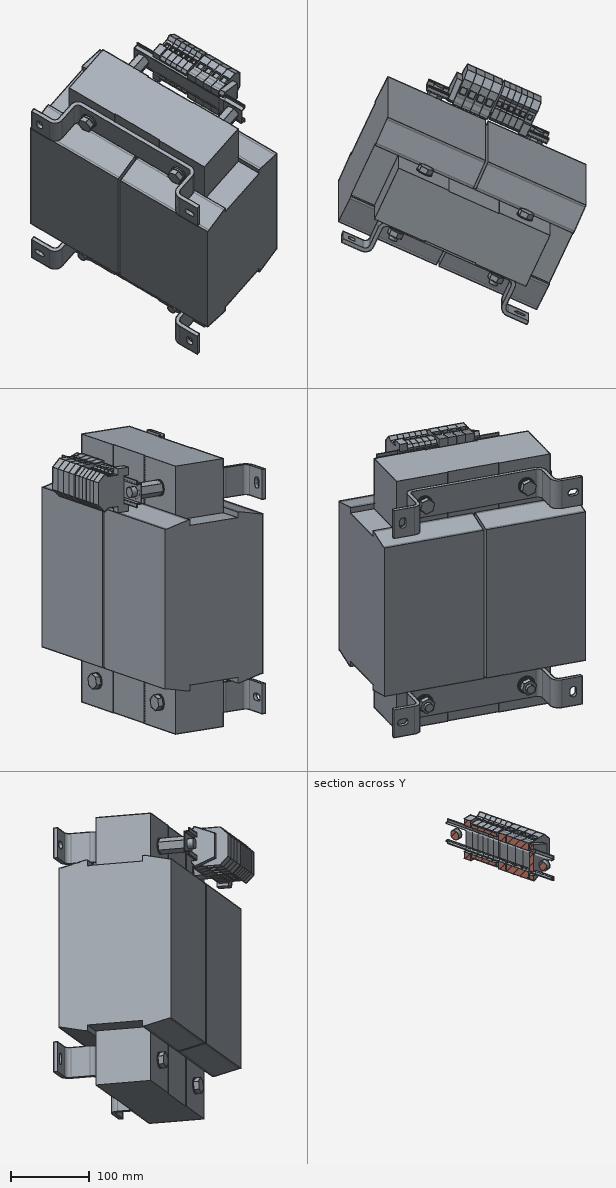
import cadquery as cq
import math


CORE_WIDTH = 211.5
CORE_HEIGHT = 350.0
CORE_DEPTH = 73.5
YOKE_HEIGHT = 70.7
YOKE_CENTRE_Z = 140.0
WINDOW_WIDTH = 70.0
YOKE_RECESS = 1.0
WINDOW_HEIGHT = CORE_HEIGHT - 2 * YOKE_HEIGHT
CORE_FACE = CORE_DEPTH / 2

COILS_WIDTH = 277.0
COIL_GAP = 3.5
COIL_WIDTH = (COILS_WIDTH - COIL_GAP) / 2
COIL_DEPTH = 150.5
COIL_PEAK_HEIGHT = 223.3
COIL_RIM = 3.0

BRACKET_HEIGHT = 39.2
BRACKET_THICKNESS = 5.2
BRACKET_SPAN = 259.0
BRACKET_LEG_SPAN = 190.5
FOOT_Y = -85.5
BEND_OUTER = 11.5
BEND_INNER = BEND_OUTER - BRACKET_THICKNESS
SLOT_X = 117.2
SLOT_LENGTH = 14.5
SLOT_WIDTH = 9.0
BRACKET_FACE = -CORE_FACE - BRACKET_THICKNESS

BOLT_X = 70.0
BOLT_DIAMETER = 11.2
BOLT_HEX_DIAMETER = 20.3
BOLT_HEX_TURN = 17.0
WASHER_DIAMETER = 21.0
WASHER_THICKNESS = 2.0
SPRING_WASHER_DIAMETER = 19.5
SPRING_WASHER_THICKNESS = 2.5
NUT_WASHER_DIAMETER = 22.8
HEAD_HEIGHT = 7.0
NUT_HEIGHT = 7.7
BOLT_OVERHANG = 5.2
BACK_WASHER_THICKNESS = 1.0
STACK_FACE = BRACKET_FACE - WASHER_THICKNESS - SPRING_WASHER_THICKNESS
BACK_WASHER_FACE = CORE_FACE + BACK_WASHER_THICKNESS

RAIL_LENGTH = 168.0
RAIL_BACK = 74.0
RAIL_DEPTH = 7.7
RAIL_SHEET = 1.5
RAIL_HAT_HEIGHT = 27.3
RAIL_HEIGHT = 35.0
RAIL_FRONT = RAIL_BACK + RAIL_DEPTH
RAIL_SCREW_DIAMETER = 13.3
RAIL_SCREW_TOP = 83.3

CROWN_Y = 120.8
CROWN = 14.7
SHOULDER_Y = 110.2
SHOULDER = 25.0
NOTCH_Y = 105.5
NOTCH = 20.5
FOOT_TOP_Y = 78.0
CLIP_Y = 74.5
CLIP = 18.5
LARGE_CLIP = 14.7
CLIP_OUTER = 21.5
SEAT_Y = RAIL_FRONT - RAIL_SHEET / 2
BLOCK_GAP = 0.18

END_BLOCK_X = -55.0
END_BLOCK_WIDTH = 11.0
END_FLANK_Y = 90.3
END_FLANK = 28.7

SMALL_ROW_WIDTH = 41.0
SMALL_COUNT = 5
SMALL_RAMP_Y = 93.8
SMALL_RAMP = 2.0

LARGE_ROW_X = -0.7
LARGE_ROW_WIDTH = 48.5
LARGE_COUNT = 4
LARGE_FLANK_Y = 85.5
LARGE_FLANK = 26.2

STOP_WIDTH = 7.5
STOP_TOP_Y = 105.0
STOP_TOP = 15.8
STOP_FLANK = 26.2

SOCKET_DEPTH = 4.2
SMALL_SOCKET_WIDTH = 5.5
SMALL_SOCKET_Y = (94.5, 101.0)
LARGE_SOCKET_WIDTH = 8.0
LARGE_SOCKET_Y = (90.0, 99.5)


def box(x0, x1, y0, y1, z0, z1):
    """Box between two opposite corners."""
    return cq.Workplane("XY").box(x1 - x0, y1 - y0, z1 - z0, centered=False).translate((x0, y0, z0))


def cylinder(x, z, diameter, y0, y1):
    """Round bar along Y."""
    return cq.Workplane("XZ", origin=(x, y0, z)).circle(diameter / 2).extrude(y0 - y1)


def hexagon(x, z, y0, y1):
    """Hexagonal bar along Y, turned so that no flat is level."""
    sketch = cq.Workplane("XZ", origin=(x, y0, z)).transformed(rotate=(0, 0, BOLT_HEX_TURN))
    return sketch.polygon(6, BOLT_HEX_DIAMETER).extrude(y0 - y1)


def core():
    """Closed rectangular frame whose yokes are slightly thinner between the limbs."""
    outer = cq.Workplane("XY").box(CORE_WIDTH, CORE_DEPTH, CORE_HEIGHT)
    frame = outer.cut(cq.Workplane("XY").box(WINDOW_WIDTH, CORE_DEPTH, WINDOW_HEIGHT))
    limbs = frame.cut(cq.Workplane("XY").box(WINDOW_WIDTH, CORE_DEPTH, CORE_HEIGHT))
    yoke_depth = CORE_DEPTH - 2 * YOKE_RECESS
    thin_frame = frame.intersect(cq.Workplane("XY").box(CORE_WIDTH, yoke_depth, CORE_HEIGHT))
    return limbs.union(thin_frame)


def coil(side):
    """Winding around the left (-1) or right (1) core limb, with raised ends beside the yokes."""
    half_depth = COIL_DEPTH / 2
    half_height = WINDOW_HEIGHT / 2
    half_peak = COIL_PEAK_HEIGHT / 2
    end = [
        (half_depth, half_height),
        (half_depth - COIL_RIM, half_height),
        (CORE_FACE + COIL_RIM, half_peak),
        (CORE_FACE, half_peak),
        (CORE_FACE, half_height),
    ]
    top = end + [(-y, z) for y, z in reversed(end)]
    outline = top + [(y, -z) for y, z in reversed(top)]
    body = cq.Workplane("YZ").polyline(outline).close().extrude(COIL_WIDTH)
    return body.translate((COIL_GAP / 2 if side > 0 else -COIL_GAP / 2 - COIL_WIDTH, 0, 0))


def bracket(level):
    """Bent strap across the lower (-1) or upper (1) yoke, with a slotted foot at each end."""
    leg = BRACKET_LEG_SPAN / 2
    tip = BRACKET_SPAN / 2
    t = BRACKET_THICKNESS
    diagonal = math.sqrt(0.5)

    def bend(path, centre, radius, toward, end):
        middle = (centre[0] + radius * diagonal * toward[0], centre[1] + radius * diagonal * toward[1])
        return path.threePointArc(middle, end)

    upper = (leg - BEND_OUTER, -CORE_FACE - BEND_OUTER)
    lower = (leg - t + BEND_OUTER, FOOT_Y + BEND_OUTER)
    path = cq.Workplane("XY").moveTo(0, -CORE_FACE).lineTo(upper[0], -CORE_FACE)
    path = bend(path, upper, BEND_OUTER, (1, 1), (leg, upper[1])).lineTo(leg, lower[1])
    path = bend(path, lower, BEND_INNER, (-1, -1), (lower[0], FOOT_Y + t))
    path = path.lineTo(tip, FOOT_Y + t).lineTo(tip, FOOT_Y).lineTo(lower[0], FOOT_Y)
    path = bend(path, lower, BEND_OUTER, (-1, -1), (leg - t, lower[1])).lineTo(leg - t, upper[1])
    path = bend(path, upper, BEND_INNER, (1, 1), (upper[0], BRACKET_FACE)).lineTo(0, BRACKET_FACE)
    half = path.close().extrude(BRACKET_HEIGHT / 2, both=True)
    strap = half.union(half.mirror("YZ")).translate((0, 0, level * YOKE_CENTRE_Z))
    for side in (-1, 1):
        slot_angle = 0 if side == level else 90
        slot = (
            cq.Workplane("XZ", origin=(side * SLOT_X, FOOT_Y + t, level * YOKE_CENTRE_Z))
            .slot2D(SLOT_LENGTH, SLOT_WIDTH, slot_angle)
            .extrude(t)
        )
        strap = strap.cut(slot)
    return strap


def washer_stack(x, z, washer_diameter):
    """Plain washer and spring washer on the bracket face."""
    washer = cylinder(x, z, washer_diameter, BRACKET_FACE - WASHER_THICKNESS, BRACKET_FACE)
    return washer.union(cylinder(x, z, SPRING_WASHER_DIAMETER, STACK_FACE, BRACKET_FACE))


def upper_bolt(x):
    """Bolt with its head on the bracket and a hexagonal standoff up to the rail."""
    z = YOKE_CENTRE_Z
    washers = washer_stack(x, z, WASHER_DIAMETER)
    head = hexagon(x, z, STACK_FACE - HEAD_HEIGHT, STACK_FACE)
    back_washer = cylinder(x, z, WASHER_DIAMETER, CORE_FACE, BACK_WASHER_FACE)
    standoff = hexagon(x, z, CORE_FACE, RAIL_BACK)
    screw = cylinder(x, z, RAIL_SCREW_DIAMETER, RAIL_BACK, RAIL_SCREW_TOP)
    return washers.union(head).union(back_washer).union(standoff).union(screw)


def lower_bolt(x):
    """Bolt with its head behind the core and a nut on the bracket."""
    z = -YOKE_CENTRE_Z
    nut_face = STACK_FACE - NUT_HEIGHT
    washers = washer_stack(x, z, NUT_WASHER_DIAMETER)
    nut = hexagon(x, z, nut_face, STACK_FACE)
    tip = cylinder(x, z, BOLT_DIAMETER, nut_face - BOLT_OVERHANG, nut_face)
    back_washer = cylinder(x, z, WASHER_DIAMETER, CORE_FACE, BACK_WASHER_FACE)
    head = hexagon(x, z, BACK_WASHER_FACE, BACK_WASHER_FACE + HEAD_HEIGHT)
    return washers.union(nut).union(tip).union(back_washer).union(head)


def rail():
    """Hat-shaped sheet rail, open towards the terminals."""
    half = RAIL_LENGTH / 2
    hat = RAIL_HAT_HEIGHT / 2
    lip = RAIL_HEIGHT / 2
    body = box(-half, half, RAIL_BACK, RAIL_FRONT, -hat, hat)
    inner = hat - RAIL_SHEET
    body = body.cut(box(-half, half, RAIL_BACK + RAIL_SHEET, RAIL_FRONT, -inner, inner))
    for z0, z1 in ((inner, lip), (-lip, -inner)):
        body = body.union(box(-half, half, RAIL_FRONT - RAIL_SHEET, RAIL_FRONT, z0, z1))
    return body.translate((0, 0, YOKE_CENTRE_Z))


def block(x, width, upper_half):
    """Prism on the rail; the half outline runs from the crown to the rail seat and is mirrored."""
    outline = upper_half + [(y, -z) for y, z in reversed(upper_half)]
    body = cq.Workplane("YZ").polyline(outline).close().extrude(width)
    return body.translate((x, 0, YOKE_CENTRE_Z))


def terminal(x, width, upper_half, socket_width, socket_y, flank):
    """Block with a wire socket in the middle of its upper and lower flanks."""
    body = block(x, width, upper_half)
    x0 = x + (width - socket_width) / 2
    for low, high in ((flank - SOCKET_DEPTH, flank), (-flank, SOCKET_DEPTH - flank)):
        socket = box(x0, x0 + socket_width, *socket_y, low, high)
        body = body.cut(socket.translate((0, 0, YOKE_CENTRE_Z)))
    return body


def terminals():
    """End block, small terminals, large terminals and end stop, from left to right."""
    crown = [(CROWN_Y, CROWN), (SHOULDER_Y, SHOULDER)]
    clip = [(CLIP_Y, CLIP), (SEAT_Y, CLIP)]
    bevelled_clip = [(CLIP_Y, CLIP_OUTER)] + clip
    end_profile = crown + [
        (NOTCH_Y, NOTCH),
        (END_FLANK_Y, NOTCH),
        (END_FLANK_Y, END_FLANK),
        (CLIP_Y, END_FLANK),
    ] + clip
    small_profile = crown + [
        (NOTCH_Y, NOTCH),
        (SMALL_RAMP_Y, NOTCH),
        (SMALL_RAMP_Y - SMALL_RAMP, NOTCH + SMALL_RAMP),
        (SMALL_RAMP_Y - SMALL_RAMP, SHOULDER),
        (FOOT_TOP_Y, SHOULDER),
    ] + bevelled_clip
    large_profile = crown + [
        (LARGE_FLANK_Y, SHOULDER),
        (FOOT_TOP_Y, LARGE_FLANK),
        (CLIP_Y, LARGE_FLANK),
        (CLIP_Y, LARGE_CLIP),
        (SEAT_Y, LARGE_CLIP),
    ]
    stop_profile = [
        (STOP_TOP_Y, STOP_TOP),
        (FOOT_TOP_Y, STOP_FLANK),
    ] + bevelled_clip

    end_width = END_BLOCK_WIDTH - BLOCK_GAP
    bodies = [terminal(END_BLOCK_X, end_width, end_profile, SMALL_SOCKET_WIDTH, SMALL_SOCKET_Y, NOTCH)]

    small_pitch = SMALL_ROW_WIDTH / SMALL_COUNT
    small_width = small_pitch - BLOCK_GAP
    for i in range(SMALL_COUNT):
        x = END_BLOCK_X + END_BLOCK_WIDTH + i * small_pitch
        bodies.append(terminal(x, small_width, small_profile, SMALL_SOCKET_WIDTH, SMALL_SOCKET_Y, NOTCH))

    large_pitch = LARGE_ROW_WIDTH / LARGE_COUNT
    large_width = large_pitch - BLOCK_GAP
    for i in range(LARGE_COUNT):
        x = LARGE_ROW_X + i * large_pitch
        bodies.append(terminal(x, large_width, large_profile, LARGE_SOCKET_WIDTH, LARGE_SOCKET_Y, SHOULDER))

    stop_x = LARGE_ROW_X + LARGE_ROW_WIDTH
    bodies.append(block(stop_x, STOP_WIDTH, stop_profile))
    rail_half = RAIL_HAT_HEIGHT / 2
    tongue = box(stop_x, stop_x + STOP_WIDTH, RAIL_BACK, SEAT_Y, -rail_half, rail_half)
    bodies.append(tongue.translate((0, 0, YOKE_CENTRE_Z)))
    return bodies


result = core().union(coil(-1)).union(coil(1)).union(rail())
for body in terminals():
    result = result.union(body)
for level in (-1, 1):
    result = result.union(bracket(level))
for bolt_x in (-BOLT_X, BOLT_X):
    result = result.union(upper_bolt(bolt_x)).union(lower_bolt(bolt_x))